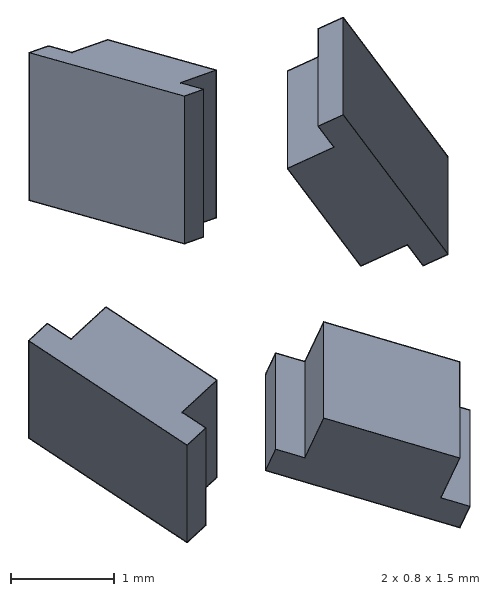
import cadquery as cq

width = 2.0
depth = 0.8
height = 1.5

plate_depth = 0.28
block_width = 1.4
block_depth = depth - plate_depth


def centred_box(box_width, box_depth, center_y):
    """Full-height box centred on X and Z, with its middle at center_y."""
    return cq.Workplane("XY").box(box_width, box_depth, height).translate((0, center_y, 0))


plate = centred_box(width, plate_depth, (plate_depth - depth) / 2)
block = centred_box(block_width, block_depth, (depth - block_depth) / 2)

result = plate.union(block)